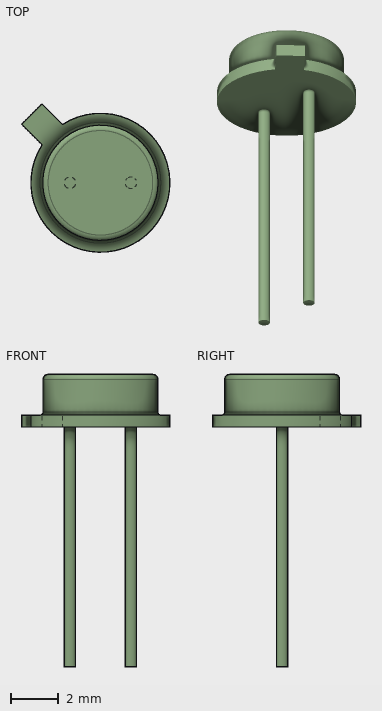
import cadquery as cq

flange_diameter = 5.8
flange_thickness = 0.5

cap_diameter = 4.8
cap_height = 1.7
cap_top_radius = 0.22
foot_radius = 0.12

tab_width = 1.2
tab_reach = 4.05
tab_angle = 135

lead_diameter = 0.48
lead_length = 10.0
lead_pitch = 2.54


def make_flange():
    """Round base disc with the locating tab."""
    disc = cq.Workplane("XY").circle(flange_diameter / 2).extrude(flange_thickness)
    tab = (
        cq.Workplane("XY")
        .rect(tab_reach, tab_width)
        .extrude(flange_thickness)
        .translate((tab_reach / 2, 0, 0))
        .rotate((0, 0, 0), (0, 0, 1), tab_angle)
    )
    return disc.union(tab)


def make_cap():
    """Closed cap with a rounded top edge and a flared foot."""
    cap = (
        cq.Workplane("XY")
        .workplane(offset=flange_thickness)
        .circle(cap_diameter / 2)
        .extrude(cap_height)
        .faces(">Z")
        .edges()
        .fillet(cap_top_radius)
    )
    wall_x = cap_diameter / 2
    foot_top = flange_thickness + foot_radius
    foot = (
        cq.Workplane("XZ")
        .moveTo(0, flange_thickness)
        .lineTo(wall_x + foot_radius, flange_thickness)
        .radiusArc((wall_x, foot_top), foot_radius)
        .lineTo(0, foot_top)
        .close()
        .revolve(360, (0, 0, 0), (0, 1, 0))
    )
    return cap.union(foot)


def make_leads():
    """Pair of straight round leads below the flange, spaced along X."""
    return (
        cq.Workplane("XY")
        .pushPoints([(-lead_pitch / 2, 0), (lead_pitch / 2, 0)])
        .circle(lead_diameter / 2)
        .extrude(-lead_length)
    )


result = make_flange().union(make_cap()).union(make_leads())